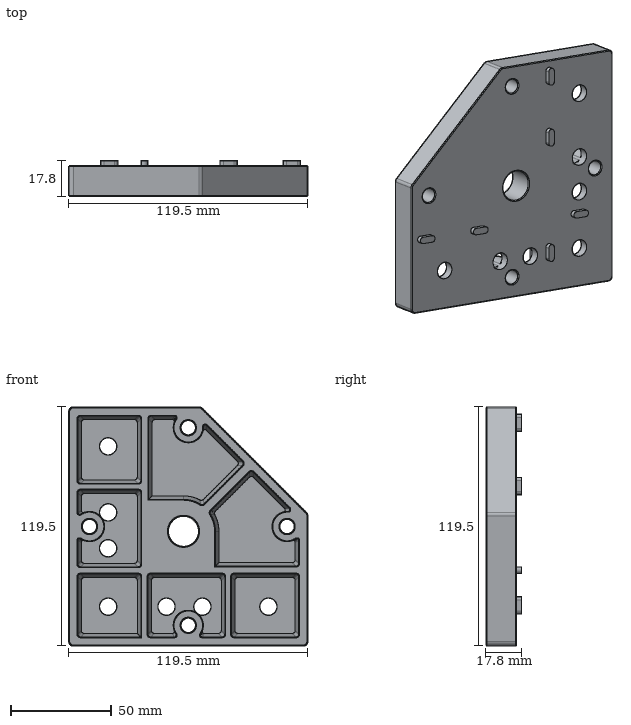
import cadquery as cq
import math

SIDE = 119.5
THICKNESS = 15.3
TOTAL_DEPTH = 17.8
CUT_START = 66.1
CORNER_RADIUS = 2.4
EDGE_CHAMFER = 0.5

WALL = 4.2
FLOOR = 5.0
DRAFT = 10.0
POCKET_RADIUS = 1.4
LIP = 0.4
LOW_END = 36.5
MIDDLE_START = 39.2
MIDDLE_END = 78.4
HIGH_START = 80.9
HIGH_END = SIDE - WALL
HUB_POCKET_START = 39.5
SPOKE = 4.1
POCKET_DEPTH = THICKNESS - FLOOR

HUB_CENTRE = 57.4
HUB_BORE = 15.0
HUB_RADIUS = 15.5

BOSS_INSET = 10.4
BOSS_RADIUS = 7.5
BOSS_BORE = 7.2
BOSS_BLEND = 1.0
BORE_CHAMFER = 0.5
MIDDLE = SIDE / 2
BOSS_LEFT = (BOSS_INSET, MIDDLE)
BOSS_BOTTOM = (MIDDLE, BOSS_INSET)
BOSS_RIGHT = (SIDE - BOSS_INSET, MIDDLE)
BOSS_TOP = (MIDDLE, SIDE - BOSS_INSET)

SCREW_BORE = 8.5
SCREW_ROW = 19.7
SCREW_STEPS = [48.9, 66.8, 99.8]

KEY_LENGTH = 8.7
KEY_WIDTH = 3.3
KEY_ROW = 37.9
LOOSE_KEY_STEP = 20.3
FIXED_KEY_STEPS = [80.0, 111.5]

TOLERANCE = 0.001
DIAGONAL = math.sqrt(2)
CUT_SUM = SIDE + CUT_START
MIRROR_NORMAL = cq.Vector(1, 0, -1)


def face_plane(depth):
    """Plane at Y = depth whose local axes are X and Z."""
    return cq.Workplane("XZ", origin=(0, depth, 0))


def block():
    outline = [(0, 0), (SIDE, 0), (SIDE, CUT_START), (CUT_START, SIDE), (0, SIDE)]
    body = face_plane(0).polyline(outline).close().extrude(-THICKNESS)
    body = body.edges("|Y").fillet(CORNER_RADIUS)
    return body.faces("<Y or >Y").chamfer(EDGE_CHAMFER)


def rectangle(x_start, x_end, z_start, z_end):
    """Outline of a rectangular pocket inside its lip."""
    centre = ((x_start + x_end) / 2, (z_start + z_end) / 2)
    width = x_end - x_start - 2 * LIP
    height = z_end - z_start - 2 * LIP
    return face_plane(0).moveTo(*centre).rect(width, height)


HUB_SIDE = HUB_CENTRE + HUB_RADIUS + LIP
HUB_POCKET_BASE = HUB_POCKET_START + LIP


def hub_outline():
    """Outline of the pocket right of the hub, inside its lip."""
    radius = HUB_RADIUS + LIP
    spoke_offset = SPOKE / 2 + LIP
    spoke_difference = spoke_offset * DIAGONAL
    slant_sum = CUT_SUM - (WALL + LIP) * DIAGONAL
    right = HIGH_END - LIP
    arc_angle = math.radians(45) - math.asin(spoke_offset / radius)

    def on_hub(angle):
        return (HUB_CENTRE + radius * math.cos(angle), HUB_CENTRE + radius * math.sin(angle))

    return (
        face_plane(0)
        .moveTo(HUB_SIDE, HUB_POCKET_BASE)
        .lineTo(HUB_SIDE, HUB_CENTRE)
        .threePointArc(on_hub(arc_angle / 2), on_hub(arc_angle))
        .lineTo((slant_sum + spoke_difference) / 2, (slant_sum - spoke_difference) / 2)
        .lineTo(right, slant_sum - right)
        .lineTo(right, HUB_POCKET_BASE)
        .close()
    )


def mouth_point(edge):
    """X and Z of the edge's end nearest the front face."""
    end = min(edge.Vertices(), key=lambda vertex: vertex.Y)
    return (end.X, end.Z)


def wall_corners(solid):
    """Edges that run from the front towards the pocket floor."""
    return [edge for edge in solid.edges().vals() if edge.BoundingBox().ylen > POCKET_DEPTH / 2]


def pocket(outline, sharp_corners=(), boss=None):
    """Drafted pocket with rounded corners, leaving a straight boss standing in it."""
    solid = outline.extrude(-POCKET_DEPTH, taper=DRAFT)
    corners = [
        edge for edge in wall_corners(solid)
        if all(math.dist(mouth_point(edge), sharp) > TOLERANCE for sharp in sharp_corners)
    ]
    solid = solid.newObject(corners).fillet(POCKET_RADIUS)
    if boss is None:
        return solid
    solid = solid.cut(face_plane(0).moveTo(*boss).circle(BOSS_RADIUS).extrude(-THICKNESS))
    tips = [
        edge for edge in wall_corners(solid)
        if abs(math.dist(mouth_point(edge), boss) - BOSS_RADIUS) < TOLERANCE
        and len(edge.Vertices()) == 2
    ]
    return solid.newObject(tips).fillet(BOSS_BLEND)


def all_pockets():
    sharp_low = (LOW_END - LIP, WALL + LIP)
    sharp_hub = [(HUB_SIDE, HUB_CENTRE), (HUB_SIDE, HUB_POCKET_BASE)]
    right_of_hub = pocket(hub_outline(), sharp_hub, BOSS_RIGHT)
    return [
        pocket(rectangle(WALL, LOW_END, WALL, LOW_END), [sharp_low]),
        pocket(rectangle(WALL, LOW_END, MIDDLE_START, MIDDLE_END), boss=BOSS_LEFT),
        pocket(rectangle(WALL, LOW_END, HIGH_START, HIGH_END)),
        pocket(rectangle(MIDDLE_START, MIDDLE_END, WALL, LOW_END), boss=BOSS_BOTTOM),
        pocket(rectangle(HIGH_START, HIGH_END, WALL, LOW_END)),
        right_of_hub,
        right_of_hub.mirror(mirrorPlane=MIRROR_NORMAL),
    ]


def drill(body, spots, diameter):
    return body.cut(face_plane(0).pushPoints(spots).circle(diameter / 2).extrude(-THICKNESS))


def drill_chamfered(body, spots, diameter):
    """Through holes with a chamfer at both ends."""
    body = drill(body, spots, diameter)
    radius = diameter / 2
    for x, z in spots:
        for depth, inward in ((0, 1), (THICKNESS, -1)):
            start = cq.Vector(x, depth, z)
            direction = cq.Vector(0, inward, 0)
            cone = cq.Solid.makeCone(radius + BORE_CHAMFER, radius, BORE_CHAMFER, start, direction)
            body = body.cut(cq.Workplane(cone))
    return body


def key(x, z, angle):
    """Rounded key standing on the back face, turned by angle from the X axis."""
    height = TOTAL_DEPTH - THICKNESS
    return face_plane(THICKNESS).center(x, z).slot2D(KEY_LENGTH, KEY_WIDTH, angle).extrude(-height)


def key_pair(step):
    """One key along X and its mirror image along Z."""
    return [key(step, KEY_ROW, 0), key(KEY_ROW, step, 90)]


def make_plate():
    body = block()
    for hollow in all_pockets():
        body = body.cut(hollow)
    mouths = [edge for wire in body.faces("<Y").val().innerWires() for edge in wire.Edges()]
    body = body.newObject(mouths).chamfer(LIP)
    body = drill_chamfered(body, [(HUB_CENTRE, HUB_CENTRE)], HUB_BORE)
    body = drill_chamfered(body, [BOSS_LEFT, BOSS_BOTTOM, BOSS_RIGHT, BOSS_TOP], BOSS_BORE)
    left_column = [(SCREW_ROW, step) for step in SCREW_STEPS]
    bottom_row = [(step, SCREW_ROW) for step in SCREW_STEPS]
    body = drill(body, [(SCREW_ROW, SCREW_ROW)] + left_column + bottom_row, SCREW_BORE)
    for step in FIXED_KEY_STEPS:
        for fixed_key in key_pair(step):
            body = body.union(fixed_key)
    return body


plate = make_plate()
loose_keys = key_pair(LOOSE_KEY_STEP)
result = cq.Compound.makeCompound([plate.val(), *[loose.val() for loose in loose_keys]])